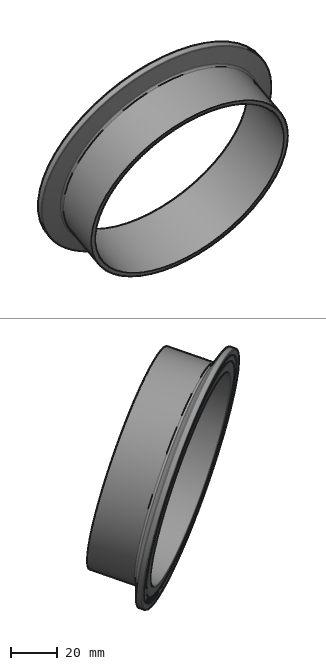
import cadquery as cq
import math

length = 28.57
flange_radius = 118.92 / 2
tube_radius = 101.6 / 2
bore_radius = 97.38 / 2
bore_edge_radius = 0.3

rim_width = 2.95
rim_edge_radius = 0.4
taper_angle = math.radians(20)
taper_run = (flange_radius - tube_radius) * math.tan(taper_angle)
taper_end = rim_width + taper_run
root_fillet_radius = 1.3

groove_center_radius = 55.1
groove_width = 2.85
groove_depth = 1.3
groove_edge_radius = 0.45


def make_ferrule_body():
    """Revolve the flange and tube section about X, then bore it through."""
    section = (
        cq.Workplane("XY")
        .moveTo(0, bore_radius)
        .lineTo(0, flange_radius)
        .lineTo(rim_width, flange_radius)
        .lineTo(taper_end, tube_radius)
        .lineTo(length, tube_radius)
        .lineTo(length, bore_radius)
        .close()
    )
    return section.revolve(360, (0, 0, 0), (1, 0, 0))


def circle_edges(body, x, radius):
    """Select the circular edges of a given radius lying at one X position."""
    reach = 0.05
    selector = cq.selectors.BoxSelector(
        (x - reach, -radius - reach, -radius - reach),
        (x + reach, radius + reach, radius + reach),
        boundingbox=True,
    )
    edges = body.edges(selector)
    circles = edges.filter(lambda edge: edge.geomType() == "CIRCLE")
    return circles.filter(lambda edge: abs(edge.radius() - radius) < reach)


def make_groove_cutter():
    """Ring whose section is a circular arc closed along the flange face."""
    half_width = groove_width / 2
    section = (
        cq.Workplane("XY")
        .moveTo(0, groove_center_radius - half_width)
        .threePointArc(
            (groove_depth, groove_center_radius),
            (0, groove_center_radius + half_width),
        )
        .close()
    )
    return section.revolve(360, (0, 0, 0), (1, 0, 0))


body = make_ferrule_body()
body = circle_edges(body, taper_end, tube_radius).fillet(root_fillet_radius)
for rim_edge_x in (0, rim_width):
    body = circle_edges(body, rim_edge_x, flange_radius).fillet(rim_edge_radius)

body = body.cut(make_groove_cutter())
for side in (-1, 1):
    groove_edge = groove_center_radius + side * groove_width / 2
    body = circle_edges(body, 0, groove_edge).fillet(groove_edge_radius)

body = circle_edges(body, 0, bore_radius).fillet(bore_edge_radius)

result = body